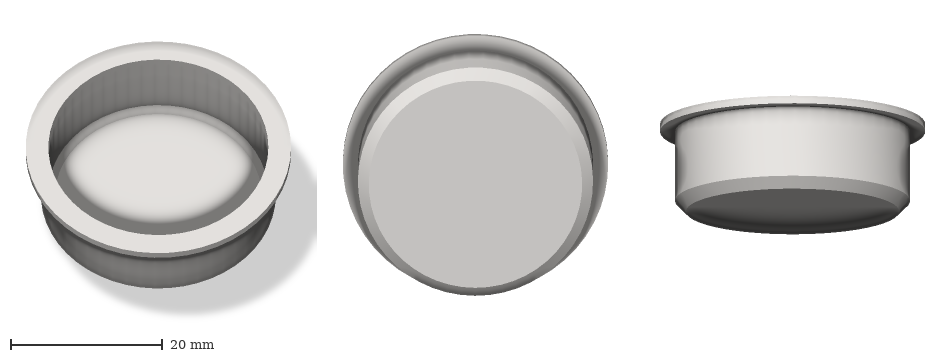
import cadquery as cq

flange_diameter = 35.0
body_diameter = 31.0
bore_diameter = 29.0
height = 11.8
flange_thickness = 1.0
floor_thickness = 1.0
outer_chamfer = 1.45
inner_chamfer = 0.85

body = (
    cq.Workplane("XY")
    .circle(body_diameter / 2)
    .extrude(height)
    .faces("<Z")
    .chamfer(outer_chamfer)
)

flange = (
    cq.Workplane("XY")
    .workplane(offset=height - flange_thickness)
    .circle(flange_diameter / 2)
    .extrude(flange_thickness)
)

cavity = (
    cq.Workplane("XY")
    .workplane(offset=floor_thickness)
    .circle(bore_diameter / 2)
    .extrude(height - floor_thickness)
    .faces("<Z")
    .chamfer(inner_chamfer)
)

result = body.union(flange).cut(cavity)